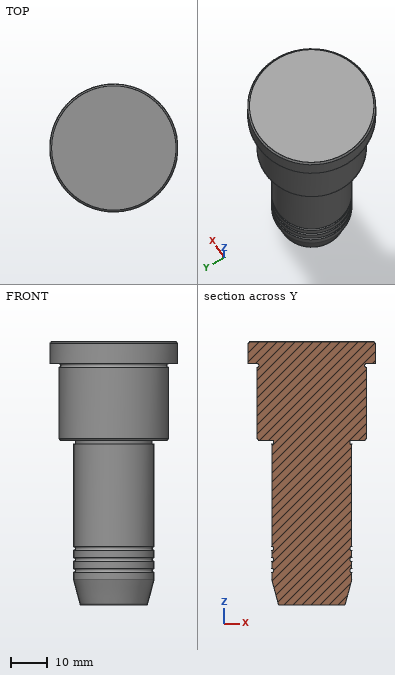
import cadquery as cq
import math

total_length = 72.0
head_height = 6.0
sleeve_length = 21.0
neck_height = 1.0
taper_height = 7.0

head_radius = 17.5
sleeve_radius = 15.0
shank_radius = 11.0
neck_radius = 10.5

edge_chamfer = 0.5
tip_fillet = 0.5
taper_angle = 15.0

groove_radius = 0.5
groove_pitch = 3.0
groove_count = 3
lowest_groove_height = 9.5

head_bottom = total_length - head_height
sleeve_bottom = head_bottom - sleeve_length
shank_top = sleeve_bottom - neck_height
tip_radius = shank_radius - taper_height * math.tan(math.radians(taper_angle))


def add_groove(outline, surface_radius, height):
    """Run the outline up to a half-round groove and around it."""
    return outline.lineTo(-surface_radius, height - groove_radius).threePointArc(
        (-surface_radius + groove_radius, height),
        (-surface_radius, height + groove_radius),
    )


def add_tip_and_shank(outline):
    """Tapered tip, grooved shank and the short neck above it."""
    outline = outline.lineTo(-tip_radius, 0).lineTo(-shank_radius, taper_height)
    for index in range(groove_count):
        outline = add_groove(outline, shank_radius, lowest_groove_height + index * groove_pitch)
    outline = outline.lineTo(-shank_radius, shank_top)
    return outline.lineTo(-neck_radius, shank_top).lineTo(-neck_radius, sleeve_bottom)


def add_sleeve(outline):
    """Shoulder with a chamfered lower edge and an undercut beneath the head."""
    outline = outline.lineTo(-sleeve_radius + edge_chamfer, sleeve_bottom)
    outline = outline.lineTo(-sleeve_radius, sleeve_bottom + edge_chamfer)
    return add_groove(outline, sleeve_radius, head_bottom - groove_radius)


def add_head(outline):
    """Flange with a chamfered upper edge."""
    outline = outline.lineTo(-head_radius, head_bottom)
    outline = outline.lineTo(-head_radius, total_length - edge_chamfer)
    outline = outline.lineTo(-head_radius + edge_chamfer, total_length)
    return outline.lineTo(0, total_length)


def make_body():
    """Half outline on the -X side, revolved about the Z axis."""
    outline = cq.Workplane("XZ").moveTo(0, 0)
    outline = add_head(add_sleeve(add_tip_and_shank(outline)))
    return outline.close().revolve(360, (0, 0), (0, 1))


result = make_body().faces("<Z").edges().fillet(tip_fillet)